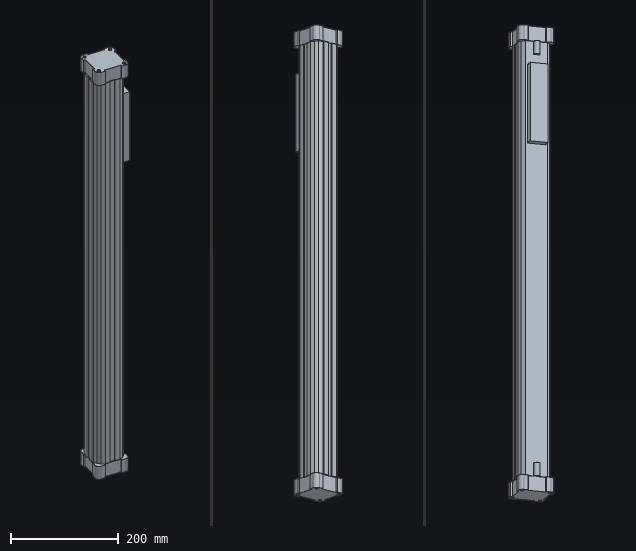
import cadquery as cq

length = 900.0
cap_width = 69.0
overall_depth = 79.0

cap_height = 29.0
cap_corner_radius = 8.0
cap_recess_width = 35.0
cap_recess_depth = 4.0
screw_spacing = 54.0
screw_recess_diameter = 6.0
screw_recess_depth = 2.0
screw_hole_diameter = 4.95
screw_hole_depth = 4.5

housing_width = 63.0
housing_back = 29.0
housing_length = length - 2 * cap_height
side_flat = 31.0
corner_near = 22.5
corner_far = 28.0

groove_width = 11.0
groove_depth = 3.0
rail_width = 30.0
rail_groove_width = 8.0
rail_front = -cap_width / 2

block_width = 35.0
block_back = rail_front + overall_depth
block_bottom = 673.0
block_top = 825.0

boss_diameter = 12.0
boss_length = 25.0
boss_back = 38.0


def make_cap():
    """End cap with its outer face up: four corner lobes, each with a recessed screw hole."""
    cap = cq.Workplane("XY").rect(cap_width, cap_width).extrude(cap_height)
    cap = cap.edges("|Z").fillet(cap_corner_radius)
    recesses = (
        cq.Workplane("XY")
        .polarArray(cap_width / 2, 0, 360, 4)
        .rect(2 * cap_recess_depth, cap_recess_width)
        .extrude(cap_height)
    )
    return (
        cap.cut(recesses)
        .faces(">Z")
        .workplane(origin=(0, 0, 0))
        .rect(screw_spacing, screw_spacing, forConstruction=True)
        .vertices()
        .cboreHole(screw_hole_diameter, screw_recess_diameter, screw_recess_depth, screw_hole_depth)
    )


def bar_along_housing(x_min, x_max, y_min, y_max, z_min=cap_height, z_max=length - cap_height):
    """Rectangular bar between the given limits."""
    return (
        cq.Workplane("XY")
        .box(x_max - x_min, y_max - y_min, z_max - z_min, centered=False)
        .translate((x_min, y_min, z_min))
    )


def make_profile():
    """Grooved housing body between the caps."""
    half = housing_width / 2
    back_chamfer_x = corner_far + corner_near - housing_back
    right_half = [
        (back_chamfer_x, housing_back),
        (corner_far, corner_near),
        (half, side_flat / 2),
        (half, -side_flat / 2),
        (corner_far, -corner_near),
        (corner_near, -corner_far),
        (side_flat / 2, -half),
    ]
    outline = right_half + [(-x, y) for x, y in reversed(right_half)]
    profile = cq.Workplane("XY", origin=(0, 0, cap_height)).polyline(outline).close().extrude(housing_length)
    profile = profile.union(bar_along_housing(-rail_width / 2, rail_width / 2, rail_front, 0))

    groove = groove_width / 2
    for x_min, x_max in ((-half, -half + groove_depth), (half - groove_depth, half)):
        profile = profile.cut(bar_along_housing(x_min, x_max, -groove, groove))
    rail_groove = rail_groove_width / 2
    return profile.cut(bar_along_housing(-rail_groove, rail_groove, rail_front, rail_front + groove_depth))


def make_boss(bottom):
    """Boss with a half-round back that rises from the given height."""
    radius = boss_diameter / 2
    return (
        cq.Workplane("XY", origin=(0, 0, bottom))
        .moveTo(-radius, 0)
        .lineTo(-radius, boss_back - radius)
        .threePointArc((0, boss_back), (radius, boss_back - radius))
        .lineTo(radius, 0)
        .close()
        .extrude(boss_length)
    )


def make_housing():
    """Grooved profile with the connector block and the two bosses."""
    block = bar_along_housing(-block_width / 2, block_width / 2, 0, block_back, block_bottom, block_top)
    housing = make_profile().union(block)
    for bottom in (cap_height, length - cap_height - boss_length):
        housing = housing.union(make_boss(bottom))
    return housing


housing = make_housing()
caps = []
for flip_angle, seat_height in ((180, cap_height), (0, length - cap_height)):
    cap = make_cap().rotate((0, 0, 0), (1, 0, 0), flip_angle).translate((0, 0, seat_height))
    caps.append(cap.val())
result = cq.Compound.makeCompound([housing.val(), *caps])